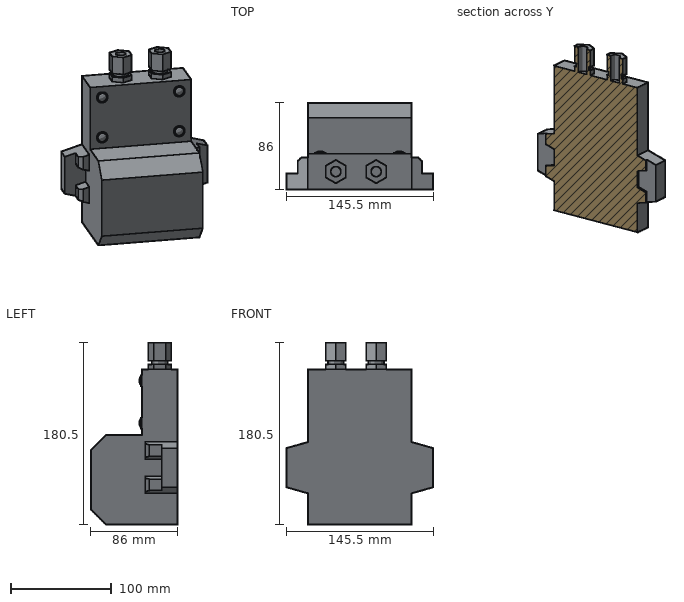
import cadquery as cq
import math

BODY_WIDTH = 103.0
BODY_DEPTH = 86.0
BODY_HEIGHT = 154.0
UPPER_DEPTH = 35.5
REAR_SHOULDER_Z = 89.0
REAR_CHAMFER = 15.0

OVERALL_WIDTH = 145.5
TAB_REACH = (OVERALL_WIDTH - BODY_WIDTH) / 2
TAB_THICKNESS = 16.0
TAB_ROOT_HEIGHT = 51.0
TAB_CENTRE_Z = 56.5
TAB_TAPER = 6.0

LUG_REACH = 10.25
LUG_DEPTH = 32.0
LUG_CHAMFER = 4.0
LUG_GAP_ROOT_HEIGHT = 17.0

GLAND_X_POSITIONS = (-23.75, 16.25)
GLAND_Y = UPPER_DEPTH / 2
HEX_ACROSS_FLATS = 20.0
BASE_NUT_HEIGHT = 5.0
NECK_HEIGHT = 3.5
NECK_DIAMETER = 16.0
CAP_NUT_HEIGHT = 18.0
GLAND_HEIGHT = BASE_NUT_HEIGHT + NECK_HEIGHT + CAP_NUT_HEIGHT
GLAND_BORE = 10.0

SCREW_EDGE_INSET = 12.25
SCREW_X = BODY_WIDTH / 2 - SCREW_EDGE_INSET
SCREW_Z_POSITIONS = (100.75, 142.75)
SCREW_DIAMETER = 11.0
SCREW_RIM = 0.9
SCREW_DOME_DIAMETER = 9.0
SCREW_HEIGHT = 2.55


def make_body():
    """Stepped side profile extruded across the width."""
    profile = (
        cq.Workplane("YZ")
        .moveTo(0, 0)
        .lineTo(BODY_DEPTH - REAR_CHAMFER, 0)
        .lineTo(BODY_DEPTH, REAR_CHAMFER)
        .lineTo(BODY_DEPTH, REAR_SHOULDER_Z - REAR_CHAMFER)
        .lineTo(BODY_DEPTH - REAR_CHAMFER, REAR_SHOULDER_Z)
        .lineTo(UPPER_DEPTH, REAR_SHOULDER_Z)
        .lineTo(UPPER_DEPTH, BODY_HEIGHT)
        .lineTo(0, BODY_HEIGHT)
        .close()
    )
    return profile.extrude(BODY_WIDTH / 2, both=True)


def side_trapezoid(root_height, end_height, y_start, y_end):
    """Prism along Y on the right side wall, changing height over the tab reach."""
    root_x = BODY_WIDTH / 2
    end_x = root_x + TAB_REACH
    return (
        cq.Workplane("XZ", origin=(0, y_start, TAB_CENTRE_Z))
        .moveTo(root_x, -root_height / 2)
        .lineTo(end_x, -end_height / 2)
        .lineTo(end_x, end_height / 2)
        .lineTo(root_x, root_height / 2)
        .close()
        .extrude(y_start - y_end)
    )


def make_right_tab():
    """L-shaped tab with sloped ends and a widening gap that leaves two lugs."""
    root_x = BODY_WIDTH / 2
    lug_x = root_x + LUG_REACH
    plan = (
        cq.Workplane("XY")
        .moveTo(root_x, 0)
        .lineTo(root_x + TAB_REACH, 0)
        .lineTo(root_x + TAB_REACH, TAB_THICKNESS)
        .lineTo(lug_x, TAB_THICKNESS)
        .lineTo(lug_x, LUG_DEPTH - LUG_CHAMFER)
        .lineTo(lug_x - LUG_CHAMFER, LUG_DEPTH)
        .lineTo(root_x, LUG_DEPTH)
        .close()
        .extrude(BODY_HEIGHT)
    )
    outline = side_trapezoid(TAB_ROOT_HEIGHT, TAB_ROOT_HEIGHT - 2 * TAB_TAPER, 0, LUG_DEPTH)
    gap_end_height = LUG_GAP_ROOT_HEIGHT + 2 * TAB_TAPER
    gap = side_trapezoid(LUG_GAP_ROOT_HEIGHT, gap_end_height, TAB_THICKNESS, LUG_DEPTH)
    return plan.intersect(outline).cut(gap)


def make_gland(x):
    """Base nut, round neck and cap nut, bored through to the body."""
    hex_diameter = HEX_ACROSS_FLATS / math.cos(math.pi / 6)

    def hex_nut(z, height):
        return (
            cq.Workplane("XY")
            .polygon(6, hex_diameter)
            .extrude(height)
            .rotate((0, 0, 0), (0, 0, 1), 90)
            .translate((x, GLAND_Y, z))
        )

    def cylinder(diameter, z, height):
        return cq.Workplane("XY", origin=(x, GLAND_Y, z)).circle(diameter / 2).extrude(height)

    neck_z = BODY_HEIGHT + BASE_NUT_HEIGHT
    gland = hex_nut(BODY_HEIGHT, BASE_NUT_HEIGHT)
    gland = gland.union(cylinder(NECK_DIAMETER, neck_z, NECK_HEIGHT))
    gland = gland.union(hex_nut(neck_z + NECK_HEIGHT, CAP_NUT_HEIGHT))
    return gland.cut(cylinder(GLAND_BORE, BODY_HEIGHT, GLAND_HEIGHT))


def make_screw_head(x, z):
    """Thin round flange carrying a narrower spherical dome, pointing toward +Y."""
    dome_radius = SCREW_DOME_DIAMETER / 2
    dome_height = SCREW_HEIGHT - SCREW_RIM
    sphere_radius = (dome_radius**2 + dome_height**2) / (2 * dome_height)
    mid_angle = math.asin(dome_radius / sphere_radius) / 2
    mid_point = (
        sphere_radius * math.sin(mid_angle),
        SCREW_HEIGHT - sphere_radius * (1 - math.cos(mid_angle)),
    )
    return (
        cq.Workplane("XY")
        .lineTo(SCREW_DIAMETER / 2, 0)
        .lineTo(SCREW_DIAMETER / 2, SCREW_RIM)
        .lineTo(dome_radius, SCREW_RIM)
        .threePointArc(mid_point, (0, SCREW_HEIGHT))
        .close()
        .revolve(360, (0, 0, 0), (0, 1, 0))
        .translate((x, UPPER_DEPTH, z))
    )


result = make_body()

right_tab = make_right_tab()
result = result.union(right_tab).union(right_tab.mirror("YZ"))

for gland_x in GLAND_X_POSITIONS:
    result = result.union(make_gland(gland_x))

for screw_x in (-SCREW_X, SCREW_X):
    for screw_z in SCREW_Z_POSITIONS:
        result = result.union(make_screw_head(screw_x, screw_z))